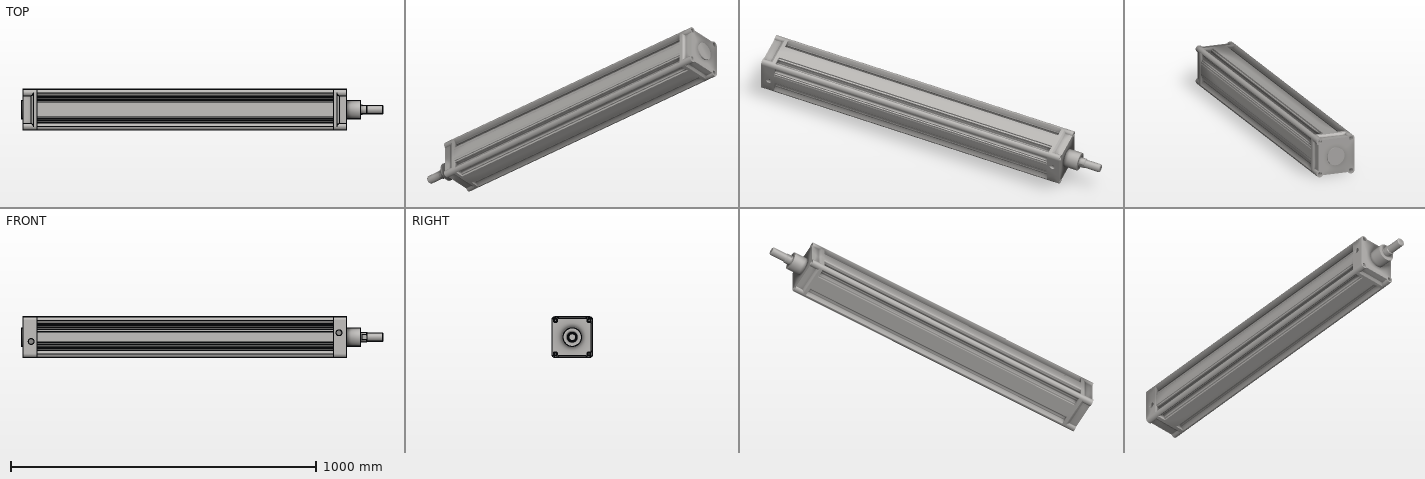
import cadquery as cq
import math

total_length = 1185.0
side = 134.0
half_side = side / 2
rear_cap_start = 5.0
tube_start = 51.0
tube_end = 1023.0
front_cap_end = 1065.0
boss_end = 1112.0
shank_end = 1133.0

corner_radius = 12.0
corner_centre = half_side - corner_radius

boss_diameter = 60.0
pocket_depth = 6.3
pocket_ramp_length = 8.0
rear_pocket_length = 34.0
front_pocket_length = 32.0
pocket_side_angles = (0, 90, 180)
screw_head_diameter = 14.0
screw_head_depth = 6.0
screw_hole_diameter = 8.0
screw_hole_depth = 12.0
port_diameter = 19.0
port_depth = 12.0
port_offset = 14.0
rear_port_x = 32.0
front_port_x = 1040.0

lip = 25.0
ledge_depth = 6.0
slot_inner = 30.0
slot_outer = 41.0
slot_depth = 18.0
slot_bevel = 4.0
flank_depth = 11.0
flank_top = corner_centre
flank_foot = flank_top - flank_depth
strip_half_width = 17.0
strip_drop = 1.0
shoulder_half_width = 19.0
shoulder_drop = 2.0
strip_side_angles = (90, 270)

rod_diameter = 32.0
rod_flat_width = 27.0
flat_setback = 4.0
flat_start = boss_end + flat_setback
thread_diameter = 27.0
thread_chamfer = 2.0
shank_chamfer = (rod_diameter - thread_diameter) / 2


def square_bar(x_start, x_end):
    """Square bar along X with rounded long edges."""
    bar = cq.Workplane("YZ", origin=(x_start, 0, 0)).rect(side, side).extrude(x_end - x_start)
    return bar.edges("|X").fillet(corner_radius)


def x_cylinder(x_start, x_end, diameter):
    return cq.Workplane("YZ", origin=(x_start, 0, 0)).circle(diameter / 2).extrude(x_end - x_start)


def cap_pocket(outer_x, pocket_length, inward):
    """Shallow pocket in the +Z side: ramped at its inner end, between posts that round off the corners."""
    floor_z = half_side - pocket_depth
    ramp_end = outer_x + inward * pocket_length
    ramp_foot = ramp_end - inward * pocket_ramp_length
    post_foot = corner_centre - math.sqrt(corner_radius**2 - (floor_z - corner_centre) ** 2)
    half_arc = math.asin((corner_centre - post_foot) / corner_radius) / 2
    post_middle = (
        corner_centre - corner_radius * math.sin(half_arc),
        corner_centre + corner_radius * math.cos(half_arc),
    )
    channel = (
        cq.Workplane("YZ", origin=(min(outer_x, ramp_end), 0, 0))
        .moveTo(-corner_centre, half_side)
        .lineTo(corner_centre, half_side)
        .threePointArc(post_middle, (post_foot, floor_z))
        .lineTo(-post_foot, floor_z)
        .threePointArc((-post_middle[0], post_middle[1]), (-corner_centre, half_side))
        .close()
        .extrude(pocket_length)
    )
    ramp_profile = (
        cq.Workplane("XZ", origin=(0, half_side, 0))
        .polyline([(outer_x, floor_z), (ramp_foot, floor_z), (ramp_end, half_side), (outer_x, half_side)])
        .close()
        .extrude(side)
    )
    return channel.intersect(ramp_profile)


def cut_pockets(cap, pocket):
    for angle in pocket_side_angles:
        cap = cap.cut(pocket.rotate((0, 0, 0), (1, 0, 0), -angle))
    return cap


def cut_screw_holes(cap, outer_x, inward):
    """Counterbored blind screw holes in the four corners of a cap's outer face."""
    for diameter, depth in ((screw_head_diameter, screw_head_depth), (screw_hole_diameter, screw_hole_depth)):
        pattern = cq.Workplane("YZ", origin=(outer_x, 0, 0)).rect(
            2 * corner_centre, 2 * corner_centre, forConstruction=True
        )
        cap = cap.cut(pattern.vertices().circle(diameter / 2).extrude(inward * depth))
    return cap


def air_port(x, z):
    """Blind round port entering from the -Y side."""
    return cq.Workplane("XZ", origin=(x, -half_side, z)).circle(port_diameter / 2).extrude(-port_depth)


def make_rear_cap():
    cap = square_bar(rear_cap_start, tube_start)
    cap = cap.union(x_cylinder(0, rear_cap_start, boss_diameter))
    cap = cut_pockets(cap, cap_pocket(rear_cap_start, rear_pocket_length, 1))
    cap = cut_screw_holes(cap, rear_cap_start, 1)
    return cap.cut(air_port(rear_port_x, -port_offset))


def make_front_cap():
    cap = square_bar(tube_end, front_cap_end)
    cap = cap.union(x_cylinder(front_cap_end, boss_end, boss_diameter))
    cap = cut_pockets(cap, cap_pocket(front_cap_end, front_pocket_length, -1))
    cap = cut_screw_holes(cap, front_cap_end, -1)
    return cap.cut(air_port(front_port_x, port_offset))


def tube_prism(points):
    section = cq.Workplane("YZ", origin=(tube_start, 0, 0)).polyline(points).close()
    return section.extrude(tube_end - tube_start)


def tube_groove():
    """Stepped groove in the +Z face on its +Y side, with a 45 degree outer flank."""
    bevel_z = half_side - slot_depth + slot_bevel
    return tube_prism([
        (lip, half_side),
        (lip, half_side - ledge_depth),
        (slot_inner, half_side - ledge_depth),
        (slot_inner, bevel_z),
        (slot_inner + slot_bevel, half_side - slot_depth),
        (slot_outer - slot_bevel, half_side - slot_depth),
        (slot_outer, bevel_z),
        (slot_outer, half_side - flank_depth),
        (flank_foot, half_side - flank_depth),
        (flank_top, half_side),
    ])


def tube_strip():
    """Middle strip of the +Z face, lowered slightly, with a bevel down to a lower shoulder on its +Y side."""
    return tube_prism([
        (0, half_side),
        (0, half_side - strip_drop),
        (strip_half_width, half_side - strip_drop),
        (shoulder_half_width, half_side - shoulder_drop),
        (lip, half_side - shoulder_drop),
        (lip, half_side),
    ])


def make_tube():
    """Tube with two mirrored grooves on every side and a lowered strip on the -Y and +Y sides."""
    tube = square_bar(tube_start, tube_end)
    for angle in (0, 90, 180, 270):
        cutters = [tube_groove()]
        if angle in strip_side_angles:
            cutters.append(tube_strip())
        for cutter in cutters:
            for shape in (cutter, cutter.mirror("XZ")):
                tube = tube.cut(shape.rotate((0, 0, 0), (1, 0, 0), angle))
    return tube


def make_rod():
    """Rod end with two wrench flats facing -Y and +Y, and a chamfered threaded tip."""
    shank = x_cylinder(boss_end, shank_end, rod_diameter).faces(">X").chamfer(shank_chamfer)
    flat_length = shank_end - flat_start
    flat_depth = (rod_diameter - rod_flat_width) / 2
    for direction in (-1, 1):
        flat_centre = (flat_start + flat_length / 2, direction * (rod_flat_width + flat_depth) / 2, 0)
        shank = shank.cut(cq.Workplane(origin=flat_centre).box(flat_length, flat_depth, rod_diameter))
    thread = x_cylinder(shank_end, total_length, thread_diameter).faces(">X").chamfer(thread_chamfer)
    return shank.union(thread)


rear_cap = make_rear_cap()
tube = make_tube()
front_cap = make_front_cap()
rod = make_rod()

result = cq.Compound.makeCompound([rear_cap.val(), tube.val(), front_cap.val(), rod.val()])